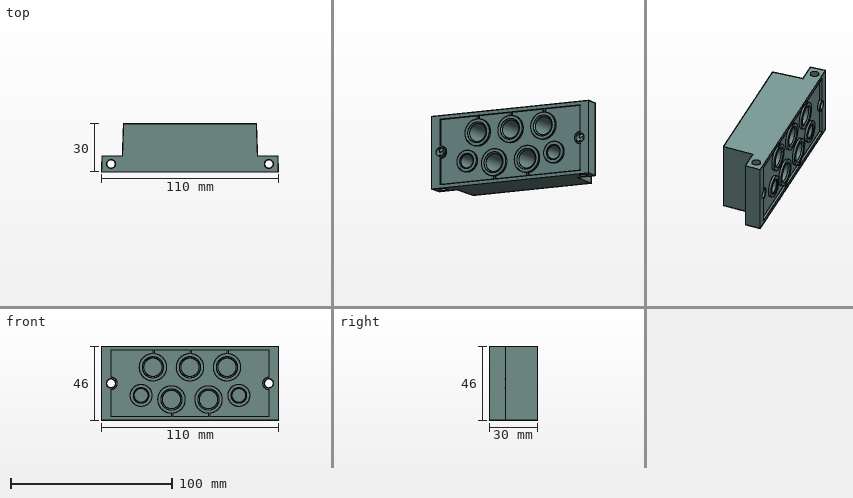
import cadquery as cq
import math

LENGTH = 110.0
HEIGHT = 46.0
DEPTH = 30.0
FLANGE_DEPTH = 10.0
BLOCK_BASE_LENGTH = 84.0
DRAFT_ANGLE = 2.0

RECESS_LENGTH = 98.0
RECESS_HEIGHT = 41.4
RECESS_DEPTH = 1.5

LARGE_COLLAR_DIAMETER = 17.0
LARGE_MOUTH_DIAMETER = 13.2
LARGE_BORE_DIAMETER = 11.4
SMALL_COLLAR_DIAMETER = 13.6
SMALL_MOUTH_DIAMETER = 9.7
SMALL_BORE_DIAMETER = 8.6
LARGE_MOUTH_DEPTH = 0.9
SMALL_MOUTH_DEPTH = 0.5
BORE_DEPTH = 22.0
SOCKET_PITCH = 23.0
LARGE_ROW_OFFSET = 10.0
SMALL_SOCKET_X = 30.4
SMALL_SOCKET_Z = -7.5
RIB_WIDTH = 1.0

FIXING_X = RECESS_LENGTH / 2
FRONT_HOLE_DIAMETER = 5.5
FRONT_HOLE_COLLAR_DIAMETER = 7.7
SIDE_HOLE_DIAMETER = 5.3

FRONT_Y = -DEPTH / 2
FLANGE_BACK_Y = FRONT_Y + FLANGE_DEPTH
BACK_Y = DEPTH / 2

UPPER_SOCKETS = [(column * SOCKET_PITCH, LARGE_ROW_OFFSET) for column in (-1, 0, 1)]
LOWER_SOCKETS = [(side * SOCKET_PITCH / 2, -LARGE_ROW_OFFSET) for side in (-1, 1)]
LARGE_SOCKETS = UPPER_SOCKETS + LOWER_SOCKETS
SMALL_SOCKETS = [(side * SMALL_SOCKET_X, SMALL_SOCKET_Z) for side in (-1, 1)]
FIXING_POINTS = [(side * FIXING_X, 0) for side in (-1, 1)]


def front_plane(y):
    """Sketch plane at the given Y, facing the front: local axes are X and Z."""
    return cq.Workplane("XZ", origin=(0, y, 0))


def cylinders(points, diameter, start_y, length):
    """Cylinders running from start_y towards +Y."""
    return front_plane(start_y).pushPoints(points).circle(diameter / 2).extrude(-length)


def body():
    """Stepped body whose end faces lean inwards towards the back."""
    draft = math.tan(math.radians(DRAFT_ANGLE))
    flange_front = LENGTH / 2
    flange_back = flange_front - FLANGE_DEPTH * draft
    block_front = BLOCK_BASE_LENGTH / 2
    block_back = block_front - (DEPTH - FLANGE_DEPTH) * draft
    right_side = [
        (flange_front, FRONT_Y),
        (flange_back, FLANGE_BACK_Y),
        (block_front, FLANGE_BACK_Y),
        (block_back, BACK_Y),
    ]
    left_side = [(-x, y) for x, y in reversed(right_side)]
    outline = cq.Workplane("XY").polyline(right_side + left_side).close()
    return outline.extrude(HEIGHT / 2, both=True)


def ribs():
    """One rib from each large collar to the nearest long wall; its left side is on the socket centre."""
    bars = cq.Workplane("XY")
    for x, z in LARGE_SOCKETS:
        wall_z = math.copysign(RECESS_HEIGHT / 2, z)
        rib_length = abs(wall_z - z)
        bars = bars.add(
            front_plane(FRONT_Y)
            .center(x + RIB_WIDTH / 2, (z + wall_z) / 2)
            .rect(RIB_WIDTH, rib_length)
            .extrude(-RECESS_DEPTH)
        )
    return bars.combine()


def recess():
    """Material removed around the collars and ribs."""
    pocket = front_plane(FRONT_Y).rect(RECESS_LENGTH, RECESS_HEIGHT).extrude(-RECESS_DEPTH)
    collar_groups = [
        (LARGE_SOCKETS, LARGE_COLLAR_DIAMETER),
        (SMALL_SOCKETS, SMALL_COLLAR_DIAMETER),
        (FIXING_POINTS, FRONT_HOLE_COLLAR_DIAMETER),
    ]
    for points, diameter in collar_groups:
        pocket = pocket.cut(cylinders(points, diameter, FRONT_Y, RECESS_DEPTH))
    return pocket.cut(ribs())


def socket_bores(points, mouth_diameter, mouth_depth, bore_diameter):
    """Blind bores with a conical mouth at the front face."""
    mouth_radius = mouth_diameter / 2
    bore_radius = bore_diameter / 2
    end_y = FRONT_Y + BORE_DEPTH
    half_section = [
        (0, FRONT_Y),
        (mouth_radius, FRONT_Y),
        (bore_radius, FRONT_Y + mouth_depth),
        (bore_radius, end_y),
        (0, end_y),
    ]
    bore = cq.Workplane("XY").polyline(half_section).close().revolve(360, (0, 0), (0, 1))
    bores = cq.Workplane("XY")
    for x, z in points:
        bores = bores.add(bore.translate((x, 0, z)))
    return bores.combine()


def fixing_holes():
    """Crossing holes at each end of the flange."""
    front_holes = cylinders(FIXING_POINTS, FRONT_HOLE_DIAMETER, FRONT_Y, DEPTH)
    side_holes = (
        cq.Workplane("XY", origin=(0, FRONT_Y + FLANGE_DEPTH / 2, 0))
        .pushPoints(FIXING_POINTS)
        .circle(SIDE_HOLE_DIAMETER / 2)
        .extrude(HEIGHT / 2, both=True)
    )
    return front_holes.union(side_holes)


result = (
    body()
    .cut(recess())
    .cut(socket_bores(LARGE_SOCKETS, LARGE_MOUTH_DIAMETER, LARGE_MOUTH_DEPTH, LARGE_BORE_DIAMETER))
    .cut(socket_bores(SMALL_SOCKETS, SMALL_MOUTH_DIAMETER, SMALL_MOUTH_DEPTH, SMALL_BORE_DIAMETER))
    .cut(fixing_holes())
)